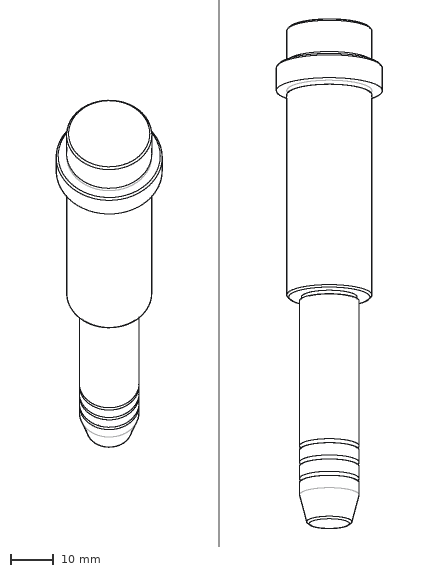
import cadquery as cq

length = 120.0
flange_diameter = 25.0
body_diameter = 20.0
pin_diameter = 14.0
tip_diameter = 10.5

flange_top = 111.0
flange_bottom = 105.0
body_bottom = 55.0
cone_top = 7.0
lowest_ring_groove = 10.0

edge_chamfer = 0.5
groove_width = 1.0
groove_depth = 0.5
ring_groove_count = 3
ring_groove_pitch = 4.0


def cylinder(diameter, bottom, top):
    """Solid cylinder on the Z axis between two heights."""
    return cq.Workplane("XY").workplane(offset=bottom).circle(diameter / 2).extrude(top - bottom)


def square_groove(diameter, bottom):
    """Ring-shaped cutter for a square groove in a shaft of the given diameter."""
    top = bottom + groove_width
    core = cylinder(diameter - 2 * groove_depth, bottom, top)
    return cylinder(diameter, bottom, top).cut(core)


def round_groove(diameter, bottom):
    """Ring-shaped cutter for a half-round groove in a shaft of the given diameter."""
    radius = diameter / 2
    return (
        cq.Workplane("XZ")
        .moveTo(radius, bottom)
        .threePointArc(
            (radius - groove_depth, bottom + groove_width / 2),
            (radius, bottom + groove_width),
        )
        .close()
        .revolve(360, (0, 0, 0), (0, 1, 0))
    )


tip = (
    cq.Workplane("XY")
    .circle(tip_diameter / 2)
    .workplane(offset=cone_top)
    .circle(pin_diameter / 2)
    .loft()
    .faces("<Z")
    .chamfer(edge_chamfer)
)

pin = cylinder(pin_diameter, cone_top, body_bottom)
body = cylinder(body_diameter, body_bottom, flange_bottom).faces("<Z").chamfer(edge_chamfer)
flange = cylinder(flange_diameter, flange_bottom, flange_top).faces(">Z").chamfer(edge_chamfer)
head = cylinder(body_diameter, flange_top, length).faces(">Z").chamfer(edge_chamfer)

result = tip.union(pin).union(body).union(flange).union(head)

result = result.cut(round_groove(body_diameter, flange_top))
result = result.cut(round_groove(body_diameter, flange_bottom - groove_width))
result = result.cut(square_groove(pin_diameter, body_bottom - groove_width))

for index in range(ring_groove_count):
    result = result.cut(round_groove(pin_diameter, lowest_ring_groove + index * ring_groove_pitch))